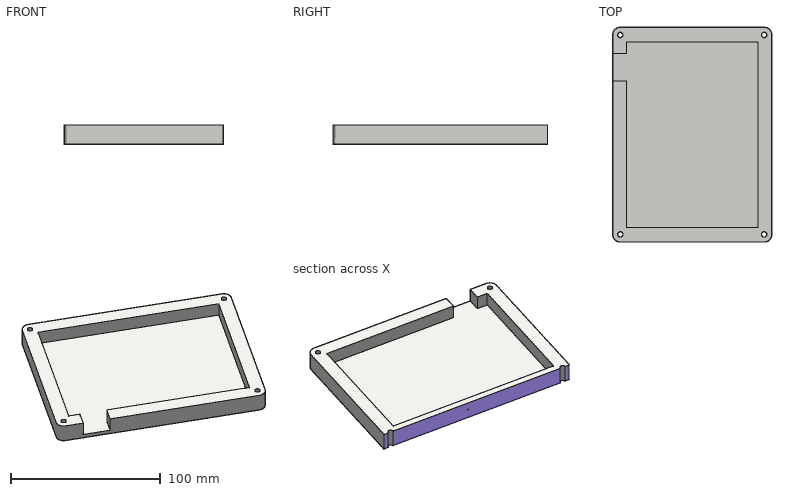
import cadquery as cq

width = 106.34
length = 143.4
height = 13.0
corner_radius = 5.2

floor_thickness = 3.0
side_wall = 9.4
end_wall = 9.7
pocket_depth = height - floor_thickness
pocket_width = width - 2 * side_wall
pocket_length = length - 2 * end_wall

notch_width = 18.4
notch_end_gap = 17.4
notch_center_y = length / 2 - notch_end_gap - notch_width / 2

hole_diameter = 3.4
hole_inset = 5.2


def make_body():
    """Solid block with rounded vertical corners."""
    block = cq.Workplane("XY").box(width, length, height, centered=(True, True, False))
    return block.edges("|Z").fillet(corner_radius)


def make_pocket():
    """Volume removed from the inside of the tray."""
    floor = cq.Workplane("XY").workplane(offset=floor_thickness)
    return floor.rect(pocket_width, pocket_length).extrude(pocket_depth)


def make_notch():
    """Volume that opens the -X wall from the outside into the pocket."""
    floor = cq.Workplane("XY").workplane(offset=floor_thickness)
    notch_center_x = (side_wall - width) / 2
    return floor.center(notch_center_x, notch_center_y).rect(side_wall, notch_width).extrude(pocket_depth)


def make_screw_holes():
    """Four through holes, one near each corner."""
    spacing_x = width - 2 * hole_inset
    spacing_y = length - 2 * hole_inset
    hole_centers = cq.Workplane("XY").rect(spacing_x, spacing_y, forConstruction=True).vertices()
    return hole_centers.circle(hole_diameter / 2).extrude(height)


cavity = make_pocket().union(make_notch())
result = make_body().cut(cavity).cut(make_screw_holes())